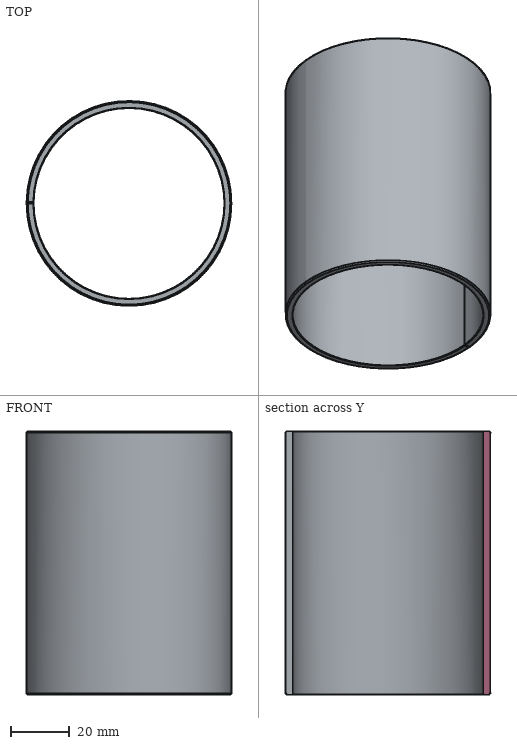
import cadquery as cq

outer_diameter = 70.0
wall_thickness = 2.5
length = 90.0
outer_chamfer = 0.5
inner_chamfer = 0.2
slit_width = 0.5

outer_radius = outer_diameter / 2
inner_radius = outer_radius - wall_thickness
half_length = length / 2


def make_sleeve():
    """Thin-walled tube along Z, centred on the origin, chamfered on all four rims."""
    wall_profile = [
        (inner_radius, -half_length + inner_chamfer),
        (inner_radius + inner_chamfer, -half_length),
        (outer_radius - outer_chamfer, -half_length),
        (outer_radius, -half_length + outer_chamfer),
        (outer_radius, half_length - outer_chamfer),
        (outer_radius - outer_chamfer, half_length),
        (inner_radius + inner_chamfer, half_length),
        (inner_radius, half_length - inner_chamfer),
    ]
    axis_start = (0, 0)
    axis_end = (0, 1)
    return cq.Workplane("XZ").polyline(wall_profile).close().revolve(360, axis_start, axis_end)


def make_slit_cutter():
    """Full-length block that splits the wall on the -X side, from Y = 0 to Y = slit_width."""
    cutter = cq.Workplane("XY").box(outer_radius, slit_width, length)
    return cutter.translate((-outer_radius, slit_width / 2, 0))


result = make_sleeve().cut(make_slit_cutter())